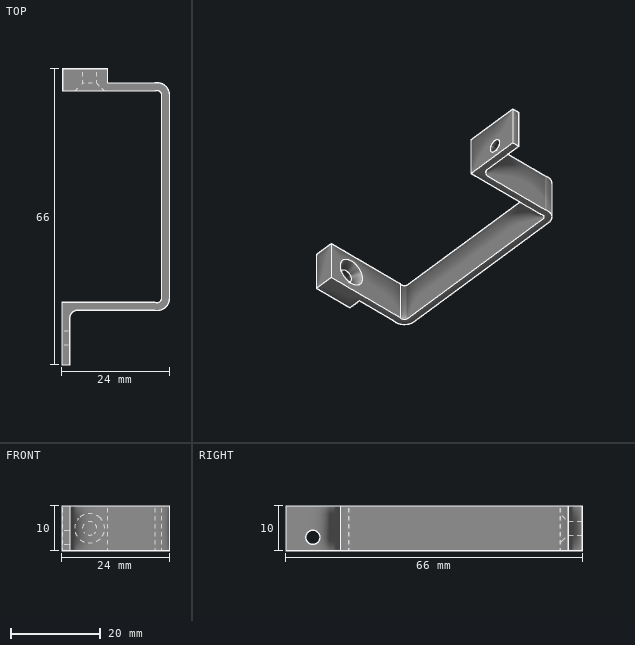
import cadquery as cq
import math

strip_width = 10.0
thickness = 1.8
overall_x = 24.0
overall_y = 66.0
foot_length = 14.0

inner_bend_radius = 1.0
outer_bend_radius = inner_bend_radius + thickness
bend_bulge = 0.1
foot_fillet_radius = 1.8

block_length = 10.0
block_depth = 5.0
block_setback = 0.2

foot_hole_diameter = 3.1
foot_hole_from_end = 6.0
foot_hole_height = 3.0

block_hole_diameter = 3.1
countersink_diameter = 6.6
countersink_angle = 90.0
block_hole_from_end = 6.0

lower_arm_inner_y = foot_length
lower_arm_outer_y = lower_arm_inner_y - thickness
upper_arm_inner_y = overall_y - block_depth
upper_arm_outer_y = upper_arm_inner_y + thickness
web_inner_x = overall_x - thickness
block_end_x = block_setback + block_length
bend_centre_x = web_inner_x - inner_bend_radius
bend_centre_offset = inner_bend_radius - bend_bulge
lower_bend_centre_y = lower_arm_inner_y + bend_centre_offset
upper_bend_centre_y = upper_arm_inner_y - bend_centre_offset


def bend_points(centre_y, radius, side):
    """Return the arm end, middle and web end of a bend arc.

    side is +1 for the upper bend and -1 for the lower one.
    """
    arm_angle = math.pi - math.asin((radius - bend_bulge) / radius)
    return [
        (
            bend_centre_x + radius * math.cos(angle),
            centre_y + side * radius * math.sin(angle),
        )
        for angle in (arm_angle, arm_angle / 2, 0)
    ]


def make_strip():
    """Extrude the bracket profile, with both bends and the thick block."""
    lower_outer = bend_points(lower_bend_centre_y, outer_bend_radius, -1)
    upper_outer = bend_points(upper_bend_centre_y, outer_bend_radius, 1)
    upper_inner = bend_points(upper_bend_centre_y, inner_bend_radius, 1)
    lower_inner = bend_points(lower_bend_centre_y, inner_bend_radius, -1)

    profile = cq.Workplane("XY").polyline([(0, 0), (thickness, 0), (thickness, lower_arm_outer_y)])

    arm_end, middle, web_end = lower_outer
    profile = profile.lineTo(*arm_end).threePointArc(middle, web_end)
    arm_end, middle, web_end = upper_outer
    profile = profile.lineTo(*web_end).threePointArc(middle, arm_end)

    profile = (
        profile.lineTo(block_end_x, upper_arm_outer_y)
        .lineTo(block_end_x, overall_y)
        .lineTo(block_setback, overall_y)
        .lineTo(block_setback, upper_arm_inner_y)
    )

    arm_end, middle, web_end = upper_inner
    profile = profile.lineTo(*arm_end).threePointArc(middle, web_end)
    arm_end, middle, web_end = lower_inner
    profile = profile.lineTo(*web_end).threePointArc(middle, arm_end)

    return profile.lineTo(0, lower_arm_inner_y).close().extrude(strip_width)


def round_foot_corner(body):
    """Fillet the inside corner between the foot and the lower arm."""
    corner = (thickness, lower_arm_outer_y, strip_width / 2)
    upright_edge = cq.selectors.NearestToPointSelector(corner)
    return body.edges("|Z").edges(upright_edge).fillet(foot_fillet_radius)


def cut_foot_hole(body):
    """Drill the plain hole along X through the foot only."""
    drill = (
        cq.Workplane("YZ")
        .center(foot_hole_from_end, foot_hole_height)
        .circle(foot_hole_diameter / 2)
        .extrude(thickness)
    )
    return body.cut(drill)


def cut_block_hole(body):
    """Drill along +Y through the block, countersunk on its inner face."""
    hole_centre = (block_setback + block_hole_from_end, upper_arm_inner_y, strip_width / 2)
    inner_face = cq.Plane(origin=hole_centre, xDir=(1, 0, 0), normal=(0, -1, 0))
    return body.copyWorkplane(cq.Workplane(inner_face)).cskHole(
        block_hole_diameter, countersink_diameter, countersink_angle, depth=block_depth
    )


result = cut_block_hole(cut_foot_hole(round_foot_corner(make_strip())))